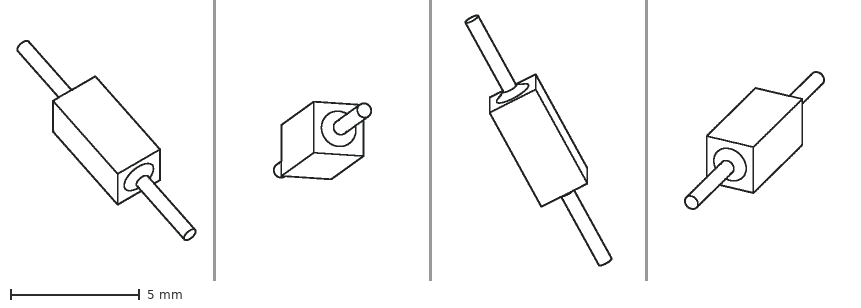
import cadquery as cq

wire_length = 11.14
wire_diameter = 0.57
housing_length = 4.32
housing_width = 2.03
housing_height = 2.04
cone_base_diameter = 1.4
cone_length = 0.23

wire_radius = wire_diameter / 2
cone_base_radius = cone_base_diameter / 2
housing_half_length = housing_length / 2


def make_wire():
    """Straight round wire that runs through the housing and both end cones."""
    return cq.Workplane("YZ").circle(wire_radius).extrude(wire_length / 2, both=True)


def make_housing():
    """Rectangular block with a bore along X that fits the wire."""
    block = cq.Workplane("XY").box(housing_length, housing_width, housing_height)
    return block.faces(">X").workplane(origin=(0, 0, 0)).hole(wire_diameter)


def make_end_cone(side):
    """Collar around the wire, tapering from the housing end face down to the wire.

    side is -1 for the -X end and +1 for the +X end.
    """
    base_x = side * housing_half_length
    tip_x = side * (housing_half_length + cone_length)
    profile = (
        cq.Workplane("XY")
        .moveTo(base_x, wire_radius)
        .lineTo(base_x, cone_base_radius)
        .lineTo(tip_x, wire_radius)
        .close()
    )
    return profile.revolve(360, (0, 0, 0), (1, 0, 0))


wire = make_wire()
housing = make_housing()
end_cones = [make_end_cone(side) for side in (-1, 1)]

result = cq.Compound.makeCompound([housing.val(), wire.val(), *[cone.val() for cone in end_cones]])